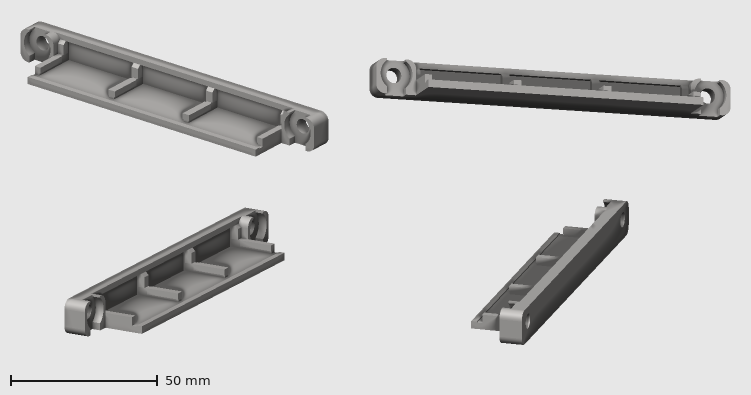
import cadquery as cq

LENGTH = 126.4
DEPTH = 22.2
HEIGHT = 12.3
CORNER_RADIUS = 3.0

PLATE_THICKNESS = 4.2
LUG_DEPTH = 8.0
LUG_WIDTH = 14.2

HOLE_DIAMETER = 5.3
HOLE_FROM_END = 7.2
HOLE_HEIGHT = 7.1
POCKET_FLOOR = 4.9
POCKET_DIAMETER = 11.4
SLOT_WIDTH = 6.8

TRAY_LENGTH = LENGTH - 2 * LUG_WIDTH
FLOOR_THICKNESS = 2.3
LIP_HEIGHT = 2.7
LIP_WIDTH = 2.0

PANEL_TOP = 10.2
PANEL_FLOOR = 2.0

RIB_COUNT = 4
CORE_WIDTH = 2.0
PAD_WIDTH = 2.8
PAD_CLEARANCE = 0.9
RIB_END = 18.3
RIB_HEIGHT = 5.3
POST_FRONT = 5.3
POST_CHAMFER = POST_FRONT - PLATE_THICKNESS
RIB_SPACING = (TRAY_LENGTH - CORE_WIDTH) / (RIB_COUNT - 1)


def block(x_min, x_max, back, front, z_min, z_max):
    """Box between two distances in front of the back face."""
    size = (x_max - x_min, front - back, z_max - z_min)
    return cq.Workplane("XY").box(*size, centered=False).translate((x_min, -front, z_min))


def make_plate():
    """Lug-deep plate, cut back between the lugs and rounded at its corners."""
    outline = block(-LENGTH / 2, LENGTH / 2, 0, LUG_DEPTH, 0, HEIGHT).edges("|Y").fillet(CORNER_RADIUS)
    gap = block(-TRAY_LENGTH / 2, TRAY_LENGTH / 2, PLATE_THICKNESS, LUG_DEPTH, 0, HEIGHT)
    panel = block(-TRAY_LENGTH / 2, TRAY_LENGTH / 2, PANEL_FLOOR, LUG_DEPTH, FLOOR_THICKNESS, PANEL_TOP)
    return outline.cut(gap).cut(panel)


def inner_corner_cut(side):
    """Sliver that rounds the upper inner corner of a lug in front of the plate."""
    inner = side * TRAY_LENGTH / 2
    centre = inner + side * CORNER_RADIUS
    corner = block(
        min(inner, centre), max(inner, centre), PLATE_THICKNESS, LUG_DEPTH, HEIGHT - CORNER_RADIUS, HEIGHT
    )
    round_stock = (
        cq.Workplane("XZ").center(centre, HEIGHT - CORNER_RADIUS).circle(CORNER_RADIUS).extrude(LUG_DEPTH)
    )
    return corner.cut(round_stock)


def screw_cut(side):
    """Through hole, round pocket and the slot that opens it to top and bottom."""
    x = side * (LENGTH / 2 - HOLE_FROM_END)
    axis = cq.Workplane("XZ").center(x, HOLE_HEIGHT)
    hole = axis.circle(HOLE_DIAMETER / 2).extrude(LUG_DEPTH)
    pocket = axis.workplane(offset=POCKET_FLOOR).circle(POCKET_DIAMETER / 2).extrude(LUG_DEPTH - POCKET_FLOOR)
    slot = block(x - SLOT_WIDTH / 2, x + SLOT_WIDTH / 2, POCKET_FLOOR, LUG_DEPTH, 0, HEIGHT)
    return hole.union(pocket).union(slot)


def make_tray():
    """Thin floor with its raised front lip."""
    half = TRAY_LENGTH / 2
    floor = block(-half, half, 0, DEPTH, 0, FLOOR_THICKNESS)
    lip = block(-half, half, DEPTH - LIP_WIDTH, DEPTH, 0, LIP_HEIGHT)
    return floor.union(lip)


def make_rib(x):
    """Thin L-shaped core carrying a wider pad on its post and another on its arm."""
    core_min, core_max = x - CORE_WIDTH / 2, x + CORE_WIDTH / 2
    pad_min = max(x - PAD_WIDTH / 2, -TRAY_LENGTH / 2)
    pad_max = min(x + PAD_WIDTH / 2, TRAY_LENGTH / 2)

    arm = block(core_min, core_max, 0, RIB_END, 0, RIB_HEIGHT)
    post = block(core_min, core_max, 0, POST_FRONT, 0, PANEL_TOP)
    arm_pad = block(
        pad_min, pad_max, POST_FRONT + PAD_CLEARANCE, RIB_END, FLOOR_THICKNESS + PAD_CLEARANCE, RIB_HEIGHT
    )
    post_pad = block(pad_min, pad_max, PANEL_FLOOR + PAD_CLEARANCE, POST_FRONT, RIB_HEIGHT, PANEL_TOP)

    bevel = (
        cq.Workplane("YZ")
        .moveTo(-POST_FRONT, PANEL_TOP)
        .lineTo(-POST_FRONT + POST_CHAMFER, PANEL_TOP)
        .lineTo(-POST_FRONT, PANEL_TOP - POST_CHAMFER)
        .close()
        .extrude(PAD_WIDTH)
        .translate((x - PAD_WIDTH / 2, 0, 0))
    )
    return arm.union(post).union(arm_pad).union(post_pad).cut(bevel)


result = make_plate().union(make_tray())
for index in range(RIB_COUNT):
    result = result.union(make_rib((index - (RIB_COUNT - 1) / 2) * RIB_SPACING))
for side in (-1, 1):
    result = result.cut(inner_corner_cut(side)).cut(screw_cut(side))